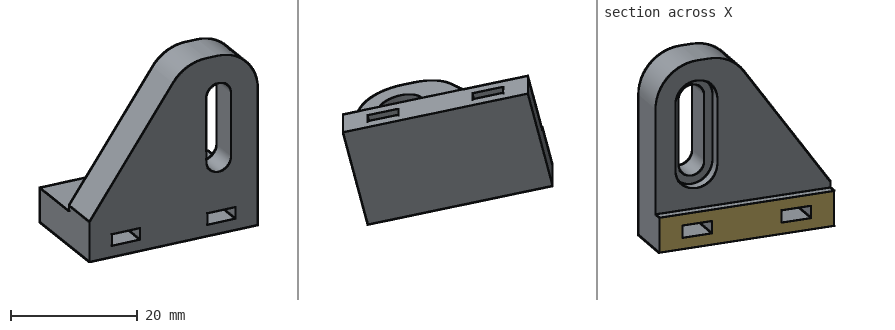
import cadquery as cq

base_width = 17.0
length = 30.0
base_height = 6.0

plate_thickness = 7.0
plate_left = base_width - plate_thickness
total_height = 31.0
front_lip_height = 1.0
slope_top_y = 17.0
corner_radius = 7.2

slot_edge_distance = 7.0
slot_center_distance = 11.0
slot_y = length - slot_edge_distance
slot_center_z = total_height - slot_edge_distance - slot_center_distance / 2
slot_width = 4.4
recess_width = 7.2
recess_depth = 2.0

base_slot_length = 5.0
base_slot_height = 2.0
base_slot_end_distance = 6.5


def make_base():
    return cq.Workplane("XY").box(base_width, length, base_height, centered=False)


def make_plate():
    outline = [
        (0, base_height),
        (0, base_height + front_lip_height),
        (slope_top_y, total_height),
        (length, total_height),
        (length, base_height),
    ]
    plate = (
        cq.Workplane("YZ", origin=(plate_left, 0, 0))
        .polyline(outline)
        .close()
        .extrude(plate_thickness)
    )
    return plate.faces(">Z").edges("|X").fillet(corner_radius)


def make_upright_slot(width, depth):
    """Round-ended vertical cutter reaching into the plate from its -X face."""
    return (
        cq.Workplane("YZ", origin=(plate_left, slot_y, slot_center_z))
        .slot2D(slot_center_distance + width, width, angle=90)
        .extrude(depth)
    )


def make_base_slots():
    centers_y = (base_slot_end_distance, length - base_slot_end_distance)
    return (
        cq.Workplane("YZ", origin=(0, 0, base_height / 2))
        .pushPoints([(y, 0) for y in centers_y])
        .rect(base_slot_length, base_slot_height)
        .extrude(base_width)
    )


result = make_base().union(make_plate())
result = result.cut(make_upright_slot(slot_width, plate_thickness))
result = result.cut(make_upright_slot(recess_width, recess_depth))
result = result.cut(make_base_slots())